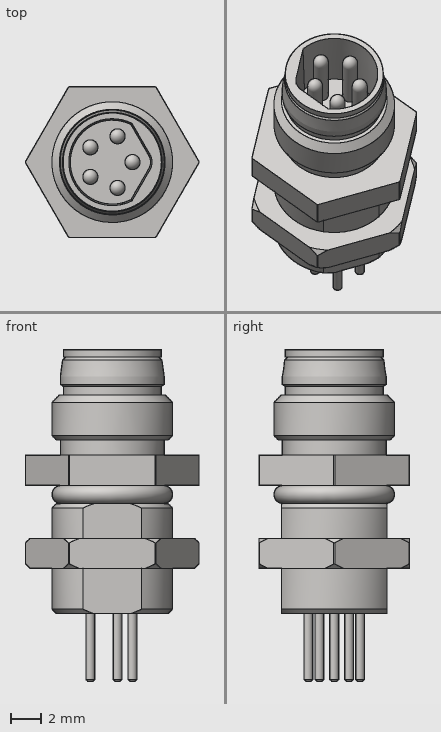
import math

import cadquery as cq

TOTAL_HEIGHT = 22.0
BODY_BOTTOM = 4.5
BODY_TOP = 11.8
FLANGE_BOTTOM = 13.0
FLANGE_TOP = 15.0
COLLAR_BOTTOM = 16.0
COLLAR_TOP = 19.0
RIDGE_BOTTOM = 19.7
RIDGE_TOP = 20.2
RIM_BOTTOM = 21.5

BODY_RADIUS = 4.0
BODY_CHAMFER = 0.3
BODY_ACROSS_FLATS = 7.0
COLLAR_RADIUS = 4.0
COLLAR_TOP_CHAMFER = 0.5
COLLAR_BOTTOM_CHAMFER = 0.3
NECK_RADIUS = 3.45
RIDGE_RADIUS = 3.45
RIDGE_UNDERCUT = 0.15
RIM_RADIUS = 3.25
CONE_TOP_RADIUS = 3.3
CONE_TOP_CHAMFER = 0.2

RING_OUTER_RADIUS = 4.0
RING_TUBE_RADIUS = (FLANGE_BOTTOM - BODY_TOP) / 2
RING_CENTER_RADIUS = RING_OUTER_RADIUS - RING_TUBE_RADIUS

HEX_ACROSS_FLATS = 10.0
HEX_CORNER_RADIUS = 5.75
HEX_THICKNESS = FLANGE_TOP - FLANGE_BOTTOM
NUT_BOTTOM = 7.5
NUT_CHAMFER = 0.3

SOCKET_RADIUS = 2.88
SOCKET_DEPTH = 4.5
SOCKET_DRAFT = 1.3
KEY_APEX_X = 2.79
KEY_HALF_ANGLE = math.radians(60)
KEY_FILLET = 1.0

PIN_CENTERS = [(1.34, 0), (0.35, 1.71), (0.35, -1.71), (-1.45, 0.98), (-1.45, -0.98)]
CONTACT_RADIUS = 0.5
CONTACT_TOP = 21.7
TAIL_RADIUS = 0.3
TAIL_CHAMFER = 0.15
PIN_EMBED = 0.5


def make_shell():
    """Turned shell: flatted body, rounded sealing ring, neck, collar, latching ridge and rim."""
    body = (
        cq.Workplane("XY", origin=(0, 0, BODY_BOTTOM))
        .circle(BODY_RADIUS)
        .extrude(BODY_TOP - BODY_BOTTOM)
        .faces("<Z or >Z")
        .chamfer(BODY_CHAMFER)
    )
    flats = cq.Workplane("XY").box(2 * BODY_RADIUS, BODY_ACROSS_FLATS, 2 * TOTAL_HEIGHT)
    upper_outline = [
        (NECK_RADIUS, FLANGE_BOTTOM),
        (NECK_RADIUS, COLLAR_BOTTOM),
        (COLLAR_RADIUS - COLLAR_BOTTOM_CHAMFER, COLLAR_BOTTOM),
        (COLLAR_RADIUS, COLLAR_BOTTOM + COLLAR_BOTTOM_CHAMFER),
        (COLLAR_RADIUS, COLLAR_TOP - COLLAR_TOP_CHAMFER),
        (COLLAR_RADIUS - COLLAR_TOP_CHAMFER, COLLAR_TOP),
        (RIM_RADIUS, COLLAR_TOP),
        (RIM_RADIUS, RIDGE_BOTTOM - RIDGE_UNDERCUT),
        (RIDGE_RADIUS, RIDGE_BOTTOM),
        (RIDGE_RADIUS, RIDGE_TOP),
        (CONE_TOP_RADIUS, RIM_BOTTOM - CONE_TOP_CHAMFER),
        (CONE_TOP_RADIUS - CONE_TOP_CHAMFER, RIM_BOTTOM),
        (RIM_RADIUS, RIM_BOTTOM),
        (RIM_RADIUS, TOTAL_HEIGHT),
        (0, TOTAL_HEIGHT),
    ]
    ring_height = (BODY_TOP + FLANGE_BOTTOM) / 2
    upper = (
        cq.Workplane("XZ")
        .moveTo(0, BODY_TOP)
        .lineTo(RING_CENTER_RADIUS, BODY_TOP)
        .threePointArc((RING_OUTER_RADIUS, ring_height), (RING_CENTER_RADIUS, FLANGE_BOTTOM))
    )
    for point in upper_outline:
        upper = upper.lineTo(*point)
    upper = upper.close().revolve(360, (0, 0), (0, 1))
    return body.intersect(flats).union(upper)


def make_hexagon(bottom, chamfer=0):
    """Hexagon with corners on the X axis, trimmed by a turned cylinder that may be chamfered."""
    plane = cq.Workplane("XY", origin=(0, 0, bottom))
    corner_diameter = HEX_ACROSS_FLATS / math.cos(math.pi / 6)
    hexagon = plane.polygon(6, corner_diameter).extrude(HEX_THICKNESS)
    turned = plane.circle(HEX_CORNER_RADIUS).extrude(HEX_THICKNESS)
    if chamfer:
        turned = turned.faces("<Z or >Z").chamfer(chamfer)
    return hexagon.intersect(turned)


def make_nut():
    """Chamfered hexagon nut; its round bore leaves a gap beside each body flat."""
    bore = cq.Workplane("XY", origin=(0, 0, NUT_BOTTOM)).circle(BODY_RADIUS).extrude(HEX_THICKNESS)
    return make_hexagon(NUT_BOTTOM, NUT_CHAMFER).cut(bore)


def make_socket():
    """Keyed socket, narrowing slightly towards its floor."""
    side_normal_angle = math.pi / 2 - KEY_HALF_ANGLE
    side_distance = KEY_APEX_X * math.cos(side_normal_angle)
    meeting_angle = side_normal_angle + math.acos(side_distance / SOCKET_RADIUS)
    meeting_x = SOCKET_RADIUS * math.cos(meeting_angle)
    meeting_y = SOCKET_RADIUS * math.sin(meeting_angle)

    arc_center_x = KEY_APEX_X - KEY_FILLET / math.sin(KEY_HALF_ANGLE)
    tangent_x = arc_center_x + KEY_FILLET * math.cos(side_normal_angle)
    tangent_y = KEY_FILLET * math.sin(side_normal_angle)

    return (
        cq.Workplane("XY", origin=(0, 0, TOTAL_HEIGHT))
        .moveTo(meeting_x, meeting_y)
        .threePointArc((-SOCKET_RADIUS, 0), (meeting_x, -meeting_y))
        .lineTo(tangent_x, -tangent_y)
        .threePointArc((arc_center_x + KEY_FILLET, 0), (tangent_x, tangent_y))
        .close()
        .extrude(-SOCKET_DEPTH, taper=SOCKET_DRAFT)
    )


def make_pins():
    """Contacts with domed tops in the socket, continued by thin solder tails below the body."""
    floor = TOTAL_HEIGHT - SOCKET_DEPTH
    contacts = (
        cq.Workplane("XY", origin=(0, 0, floor - PIN_EMBED))
        .pushPoints(PIN_CENTERS)
        .circle(CONTACT_RADIUS)
        .extrude(CONTACT_TOP - CONTACT_RADIUS - floor + PIN_EMBED)
    )
    domes = (
        cq.Workplane("XY", origin=(0, 0, CONTACT_TOP - CONTACT_RADIUS))
        .pushPoints(PIN_CENTERS)
        .sphere(CONTACT_RADIUS)
    )
    tails = (
        cq.Workplane("XY")
        .pushPoints(PIN_CENTERS)
        .circle(TAIL_RADIUS)
        .extrude(BODY_BOTTOM + PIN_EMBED)
        .faces("<Z")
        .chamfer(TAIL_CHAMFER)
    )
    return contacts.union(domes).union(tails)


shell = make_shell()
flange = make_hexagon(FLANGE_BOTTOM)
nut = make_nut()
result = shell.union(flange).union(nut).cut(make_socket()).union(make_pins())